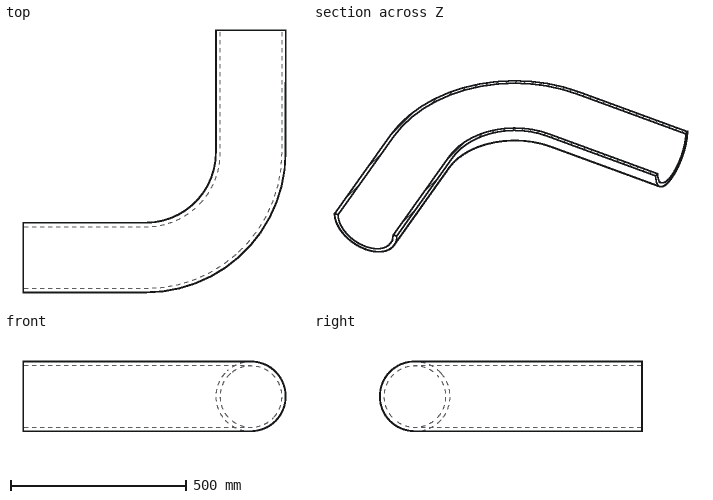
import cadquery as cq

outer_diameter = 200.0
inner_diameter = 176.2
bend_radius = 300.0
straight_length = 350.0
bend_angle = 90.0


def elbow():
    """Quarter-torus pipe running from +X to +Y, starting at the origin."""
    return (
        cq.Workplane("YZ")
        .circle(outer_diameter / 2)
        .circle(inner_diameter / 2)
        .revolve(bend_angle, (bend_radius, 0, 0), (bend_radius, 1, 0))
    )


def straight_leg(plane, start, length):
    """Straight pipe extruded along the normal of the plane, from the start point."""
    return (
        cq.Workplane(plane, origin=start)
        .circle(outer_diameter / 2)
        .circle(inner_diameter / 2)
        .extrude(length)
    )


inlet_leg = straight_leg("YZ", (0, 0, 0), -straight_length)
outlet_leg = straight_leg("ZX", (bend_radius, bend_radius, 0), straight_length)

result = elbow().union(inlet_leg).union(outlet_leg)